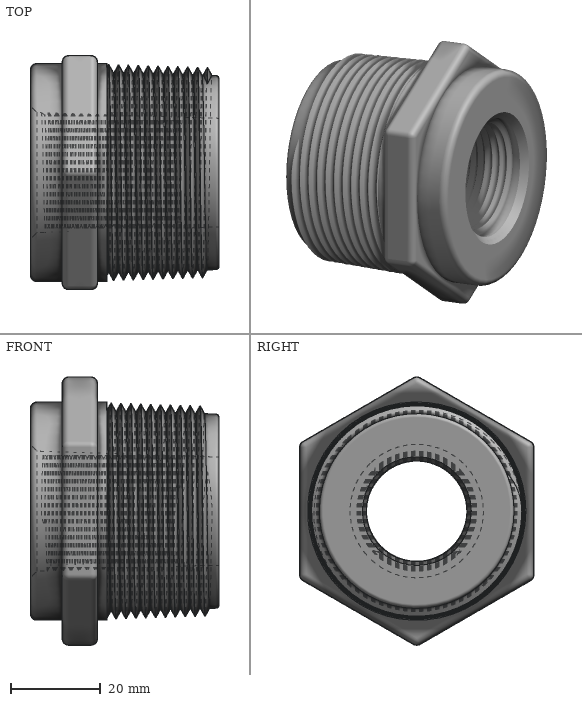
import cadquery as cq
import math


total_length = 42.16
edge_radius = 1.5

collar_radius = 48.77 / 2
collar_end = 17.1

hex_sides = 6
hex_across_flats = 52.32
hex_start = 7.1
hex_end = 15.0

taper_slope = 1 / 32
taper_angle = math.degrees(math.atan(taper_slope))
inch = 25.4
flank_half_angle = 29.0
crest_flat = 0.08
root_overlap = 0.3

male_pitch = inch / 11.5
male_height = 1.7
male_thread_end = 39.56
male_thread_start = collar_end - male_pitch
male_root_radius_at_tip = 21.68
male_runout_radius = 12.5
tip_radius = 0.8

female_pitch = inch / 14
female_height = 1.25
mouth_radius = 14.9
mouth_chamfer = 1.5
female_thread_start = 3.2
female_thread_end = 33.0
female_runout_radius = 7.4

runout_angle = 50.0


def male_root_radius(x):
    return male_root_radius_at_tip + (total_length - x) * taper_slope


def female_root_radius(x):
    return mouth_radius - mouth_chamfer - (x - mouth_chamfer) * taper_slope


def revolve_about_x(points):
    """Solid of revolution about the X axis from (x, radius) points."""
    return cq.Workplane("XY").polyline(points).close().revolve(360, (0, 0, 0), (1, 0, 0))


def make_collar():
    collar = cq.Workplane("YZ").circle(collar_radius).extrude(collar_end)
    return collar.faces("<X").edges().fillet(edge_radius)


def make_hexagon():
    corner_diameter = hex_across_flats / math.cos(math.pi / hex_sides)
    hexagon = (
        cq.Workplane("YZ", origin=(hex_start, 0, 0))
        .transformed(rotate=(0, 0, 90))
        .polygon(hex_sides, corner_diameter)
        .extrude(hex_end - hex_start)
    )
    return hexagon.edges().fillet(edge_radius)


def make_male_core():
    core = revolve_about_x([
        (0, 0),
        (0, male_root_radius(collar_end)),
        (collar_end, male_root_radius(collar_end)),
        (total_length, male_root_radius(total_length)),
        (total_length, 0),
    ])
    return core.faces(">X").edges().fillet(tip_radius)


def make_bore():
    return revolve_about_x([
        (0, 0),
        (0, mouth_radius),
        (mouth_chamfer, female_root_radius(mouth_chamfer)),
        (total_length, female_root_radius(total_length)),
        (total_length, 0),
    ])


def thread_profile(x, root_radius, height):
    """V ridge in the XY plane at axial position x; a negative height points toward the axis."""
    outward = math.copysign(1, height)
    flank_slope = math.tan(math.radians(flank_half_angle))
    half_crest = crest_flat / 2
    half_base = half_crest + (abs(height) + root_overlap) * flank_slope
    base_radius = root_radius - outward * root_overlap
    crest_radius = root_radius + height
    return cq.Workplane("XY").polyline([
        (x - half_base, base_radius),
        (x - half_crest, crest_radius),
        (x + half_crest, crest_radius),
        (x + half_base, base_radius),
    ]).close()


def helical_ridge(start, end, pitch, radius, cone_angle, profile):
    """Sweep the profile along a right-hand conical helix that leaves the +Y side at x = start."""
    axis = cq.Plane(origin=(start, 0, 0), xDir=(0, 1, 0), normal=(math.copysign(1, end - start), 0, 0))
    helix = cq.Wire.makeHelix(pitch, abs(end - start), radius, angle=cone_angle)
    return profile.sweep(cq.Workplane(helix.moved(cq.Location(axis))), isFrenet=True)


def make_male_thread():
    root_radius = male_root_radius(male_thread_end)
    profile = thread_profile(male_thread_end, root_radius, male_height)
    ridge = helical_ridge(
        male_thread_end, male_thread_start, male_pitch, root_radius, taper_angle, profile
    )
    arc_centre = root_radius + male_height - male_runout_radius
    runout = thread_profile(male_thread_end, root_radius, male_height).revolve(
        runout_angle, (0, arc_centre, 0), (1, arc_centre, 0)
    )
    return ridge, runout


def make_female_thread():
    root_radius = female_root_radius(female_thread_start)
    profile = thread_profile(female_thread_start, root_radius, -female_height)
    ridge = helical_ridge(
        female_thread_start, female_thread_end, female_pitch, root_radius, -taper_angle, profile
    )
    arc_centre = root_radius - female_height + female_runout_radius
    runout = thread_profile(female_thread_start, root_radius, -female_height).revolve(
        runout_angle, (0, arc_centre, 0), (1, arc_centre, 0)
    )
    return ridge, runout


bore = make_bore()
for ridge in make_female_thread():
    bore = bore.cut(ridge, clean=False)

bushing = make_collar().union(make_hexagon()).union(make_male_core())
for ridge in make_male_thread():
    bushing = bushing.union(ridge, clean=False)

result = bushing.cut(bore, clean=False)